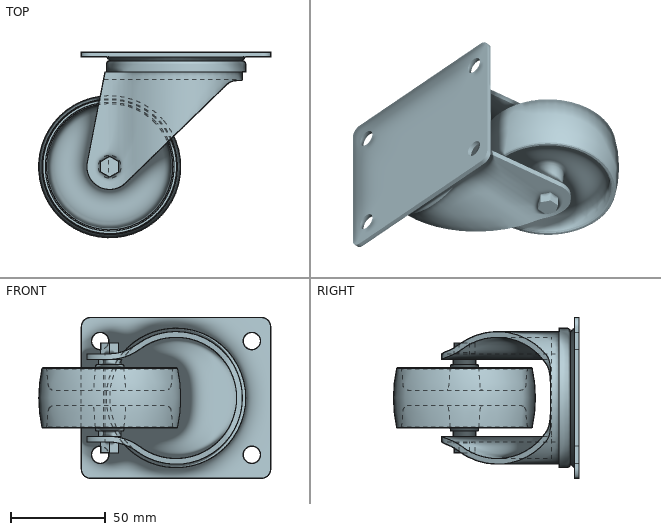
import cadquery as cq
import math


PLATE_LENGTH = 100.0
PLATE_WIDTH = 85.0
PLATE_THICKNESS = 2.5
PLATE_CORNER_RADIUS = 5.0
HOLE_DIAMETER = 9.0
HOLE_SPACING_X = 80.0
HOLE_SPACING_Z = 60.0

HEAD_RADIUS = 36.8
GROOVE_DEPTH = 4.6
HEAD_ROUND = 1.8
HEAD_DEPTH = 10.5

AXLE_OFFSET = 35.0
AXLE_DEPTH = 60.5

FORK_RADIUS = 35.0
FORK_WALL = 3.0
LEG_OUTER_Z = 23.25
LEG_BEND_RADIUS = 25.0
LEG_TIP_RADIUS = 12.0
FORK_FLOOR_DEPTH = 14.5
REAR_WALL_DEPTH = 15.1
FRONT_EDGE_ANGLE = 11.0
REAR_EDGE_ANGLE = 44.2
REAR_EDGE_FILLET = 8.0

WHEEL_RADIUS = 37.5
WHEEL_WIDTH = 32.0
TREAD_EDGE_RADIUS = 35.8
RIM_ROUND = 0.5
CAVITY_FLOOR_Z = 4.0
CAVITY_FLOOR_RADIUS = 32.2
CAVITY_MOUTH_RADIUS = 33.3
CAVITY_FILLET = 3.2
MOUTH_CHAMFER = 0.7
HUB_BASE_RADIUS = 8.5
HUB_TOP_RADIUS = 7.4
HUB_TOP_Z = 17.5
HUB_ROUND = 0.6
HUB_FILLET = 1.5

SPACER_DIAMETER = 12.02
HEX_ACROSS_FLATS = 9.5
HEX_TOP_Z = 29.0
HEX_TURN = 30.0


def make_plate():
    plate = (
        cq.Workplane("XZ")
        .rect(PLATE_LENGTH, PLATE_WIDTH)
        .extrude(PLATE_THICKNESS)
        .edges("|Y")
        .fillet(PLATE_CORNER_RADIUS)
    )
    holes = (
        cq.Workplane("XZ")
        .rect(HOLE_SPACING_X, HOLE_SPACING_Z, forConstruction=True)
        .vertices()
        .circle(HOLE_DIAMETER / 2)
        .extrude(PLATE_THICKNESS)
    )
    return plate.cut(holes)


def make_head():
    """Round swivel head: a cone under the plate, a groove, then a rounded ring."""
    groove_radius = HEAD_RADIUS - HEAD_ROUND
    ring_side_depth = GROOVE_DEPTH + HEAD_ROUND
    round_offset = HEAD_ROUND * math.sqrt(0.5)
    round_middle = (groove_radius + round_offset, -ring_side_depth + round_offset)
    return (
        cq.Workplane("XY")
        .moveTo(0, -PLATE_THICKNESS)
        .lineTo(HEAD_RADIUS, -PLATE_THICKNESS)
        .lineTo(groove_radius, -GROOVE_DEPTH)
        .threePointArc(round_middle, (HEAD_RADIUS, -ring_side_depth))
        .lineTo(HEAD_RADIUS, -HEAD_DEPTH)
        .lineTo(0, -HEAD_DEPTH)
        .close()
        .revolve(360, (0, 0, 0), (0, 1, 0))
    )


def keyhole_prism(inset, top_depth):
    """Keyhole outline of the fork, shrunk by inset: a round back that sweeps
    through a reverse curve into two straight parallel legs."""
    back_radius = FORK_RADIUS - inset
    leg_z = LEG_OUTER_Z - inset
    bend_radius = LEG_BEND_RADIUS + inset
    bend_center_z = leg_z + bend_radius
    bend_start_x = -math.sqrt((back_radius + bend_radius) ** 2 - bend_center_z**2)
    to_joint = back_radius / (back_radius + bend_radius)
    joint_x = bend_start_x * to_joint
    joint_z = bend_center_z * to_joint
    half_sweep = math.atan2(-bend_start_x, bend_center_z) / 2
    middle_x = bend_start_x + bend_radius * math.sin(half_sweep)
    middle_z = bend_center_z - bend_radius * math.cos(half_sweep)
    open_end_x = -AXLE_OFFSET - 2 * LEG_TIP_RADIUS
    return (
        cq.Workplane("XZ", origin=(0, -top_depth, 0))
        .moveTo(open_end_x, leg_z)
        .lineTo(bend_start_x, leg_z)
        .threePointArc((middle_x, middle_z), (joint_x, joint_z))
        .threePointArc((back_radius, 0), (joint_x, -joint_z))
        .threePointArc((middle_x, -middle_z), (bend_start_x, -leg_z))
        .lineTo(open_end_x, -leg_z)
        .close()
        .extrude(AXLE_DEPTH + LEG_TIP_RADIUS)
    )


def fork_side_prism():
    """Side outline of the fork: legs taper from the head to a round tip at the axle."""
    front = math.radians(FRONT_EDGE_ANGLE)
    rear = math.radians(REAR_EDGE_ANGLE)
    front_touch_x = -AXLE_OFFSET - LEG_TIP_RADIUS * math.cos(front)
    front_touch_y = -AXLE_DEPTH + LEG_TIP_RADIUS * math.sin(front)
    rear_touch_x = -AXLE_OFFSET + LEG_TIP_RADIUS * math.sin(rear)
    rear_touch_y = -AXLE_DEPTH - LEG_TIP_RADIUS * math.cos(rear)
    front_top_x = front_touch_x + (-HEAD_DEPTH - front_touch_y) * math.tan(front)
    corner_x = rear_touch_x + (-REAR_WALL_DEPTH - rear_touch_y) / math.tan(rear)
    tangent_length = REAR_EDGE_FILLET * math.tan(rear / 2)
    fillet_start = (
        corner_x - tangent_length * math.cos(rear),
        -REAR_WALL_DEPTH - tangent_length * math.sin(rear),
    )
    fillet_end_x = corner_x + tangent_length
    fillet_middle = (
        fillet_end_x - REAR_EDGE_FILLET * math.sin(rear / 2),
        -REAR_WALL_DEPTH - REAR_EDGE_FILLET * (1 - math.cos(rear / 2)),
    )
    return (
        cq.Workplane("XY")
        .moveTo(front_top_x, -HEAD_DEPTH)
        .lineTo(front_touch_x, front_touch_y)
        .threePointArc((-AXLE_OFFSET, -AXLE_DEPTH - LEG_TIP_RADIUS), (rear_touch_x, rear_touch_y))
        .lineTo(*fillet_start)
        .threePointArc(fillet_middle, (fillet_end_x, -REAR_WALL_DEPTH))
        .lineTo(FORK_RADIUS, -REAR_WALL_DEPTH)
        .lineTo(FORK_RADIUS, -HEAD_DEPTH)
        .close()
        .extrude(FORK_RADIUS, both=True)
    )


def make_fork():
    outer = keyhole_prism(0, HEAD_DEPTH)
    pocket = keyhole_prism(FORK_WALL, FORK_FLOOR_DEPTH)
    return outer.cut(pocket).intersect(fork_side_prism())


def make_wheel_blank():
    """Crowned wheel body, centred on the origin."""
    half_width = WHEEL_WIDTH / 2
    tread_z = half_width - RIM_ROUND
    face_radius = TREAD_EDGE_RADIUS - RIM_ROUND
    return (
        cq.Workplane("XZ")
        .moveTo(0, -half_width)
        .lineTo(face_radius, -half_width)
        .lineTo(TREAD_EDGE_RADIUS, -tread_z)
        .threePointArc((WHEEL_RADIUS, 0), (TREAD_EDGE_RADIUS, tread_z))
        .lineTo(face_radius, half_width)
        .lineTo(0, half_width)
        .close()
        .revolve(360, (0, 0, 0), (0, 1, 0))
    )


def make_hub():
    """Hub projecting from the wheel on the +Z side."""
    return (
        cq.Workplane("XZ")
        .moveTo(0, 0)
        .lineTo(HUB_BASE_RADIUS, 0)
        .lineTo(HUB_BASE_RADIUS, CAVITY_FLOOR_Z)
        .lineTo(HUB_TOP_RADIUS, HUB_TOP_Z)
        .lineTo(0, HUB_TOP_Z)
        .close()
        .revolve(360, (0, 0, 0), (0, 1, 0))
        .faces(">Z")
        .edges()
        .fillet(HUB_ROUND)
    )


def make_cavity():
    """Dished recess on the +Z side of the wheel, with a chamfered mouth."""
    half_width = WHEEL_WIDTH / 2
    return (
        cq.Workplane("XZ")
        .moveTo(0, CAVITY_FLOOR_Z)
        .lineTo(CAVITY_FLOOR_RADIUS, CAVITY_FLOOR_Z)
        .lineTo(CAVITY_MOUTH_RADIUS, half_width - MOUTH_CHAMFER)
        .lineTo(CAVITY_MOUTH_RADIUS + MOUTH_CHAMFER, half_width)
        .lineTo(0, half_width)
        .close()
        .revolve(360, (0, 0, 0), (0, 1, 0))
        .faces("<Z")
        .edges()
        .fillet(CAVITY_FILLET)
        .cut(make_hub())
        .faces("<Z")
        .edges(cq.selectors.RadiusNthSelector(0))
        .fillet(HUB_FILLET)
    )


def make_axle_end():
    """Spacer between hub and leg, and the bolt's hex head outside the leg (+Z side)."""
    leg_inner_z = LEG_OUTER_Z - FORK_WALL
    hex_corner_diameter = HEX_ACROSS_FLATS / math.cos(math.pi / 6)
    spacer = (
        cq.Workplane("XY", origin=(0, 0, HUB_TOP_Z))
        .circle(SPACER_DIAMETER / 2)
        .extrude(leg_inner_z - HUB_TOP_Z)
    )
    head = (
        cq.Workplane("XY", origin=(0, 0, LEG_OUTER_Z))
        .polygon(6, hex_corner_diameter)
        .extrude(HEX_TOP_Z - LEG_OUTER_Z)
        .rotate((0, 0, 0), (0, 0, 1), HEX_TURN)
    )
    return spacer, head


def make_wheel_and_axle():
    cavity = make_cavity()
    spacer, bolt_head = make_axle_end()
    end_fittings = make_hub().union(spacer).union(bolt_head)
    wheel = make_wheel_blank().cut(cavity).cut(cavity.mirror("XY"))
    wheel = wheel.union(end_fittings).union(end_fittings.mirror("XY"))
    return wheel.translate((-AXLE_OFFSET, -AXLE_DEPTH, 0))


result = make_plate().union(make_head()).union(make_fork()).union(make_wheel_and_axle())